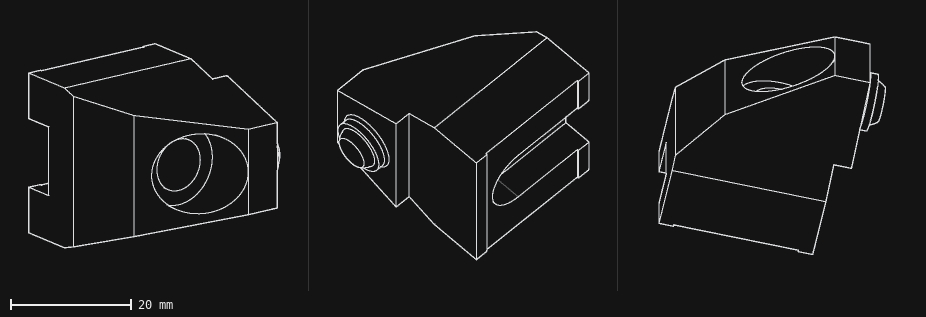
import cadquery as cq
import math

clamp_width = 30.0
clamp_height = 28.0
back_length = 26.25
nose_end_y = 29.25
nose_start_x = 16.0
foot_width = 12.5
knee_x = 20.4
knee_y = 6.65
nose_side_y = 23.25

relief_depth = 0.25
relief_margin = 2.5

taper_start_x = 10.0
taper_end_height = 15.0

slot_width = 12.0
slot_depth = 5.5
bolt_y = 16.25
bolt_hole_diameter = 9.0
counterbore_diameter = 14.0
counterbore_floor_x = 20.0

button_x = (nose_start_x + clamp_width) / 2
flare_radius = 5.3
flare_height = 0.62
collar_radius = 4.85
collar_height = 1.3
ball_radius = 4.0
ball_flat_radius = 3.0
button_height = 32.8 - nose_end_y


def x_cylinder(diameter, start_x, end_x):
    """Cylinder along X on the bolt axis."""
    plane = cq.Workplane("YZ", origin=(start_x, bolt_y, 0))
    return plane.circle(diameter / 2).extrude(end_x - start_x)


def make_blank():
    """Plan outline with the back relief, trimmed by the tapered side profile."""
    plan = (
        cq.Workplane("XY")
        .moveTo(0, 0)
        .lineTo(foot_width, 0)
        .lineTo(knee_x, knee_y)
        .lineTo(clamp_width, nose_side_y)
        .lineTo(clamp_width, nose_end_y)
        .lineTo(nose_start_x, nose_end_y)
        .lineTo(nose_start_x, back_length)
        .lineTo(0, back_length)
        .lineTo(0, back_length - relief_margin)
        .lineTo(relief_depth, back_length - relief_margin)
        .lineTo(relief_depth, relief_margin)
        .lineTo(0, relief_margin)
        .close()
        .extrude(clamp_height / 2, both=True)
    )
    taper = (
        cq.Workplane("XZ")
        .moveTo(0, -clamp_height / 2)
        .lineTo(taper_start_x, -clamp_height / 2)
        .lineTo(clamp_width, -taper_end_height / 2)
        .lineTo(clamp_width, taper_end_height / 2)
        .lineTo(taper_start_x, clamp_height / 2)
        .lineTo(0, clamp_height / 2)
        .close()
        .extrude(-nose_end_y)
    )
    return plan.intersect(taper)


def make_slot():
    """Slot open at the foot, ending in a half round on the bolt axis."""
    straight = cq.Workplane("XY").box(slot_depth, bolt_y, slot_width, centered=(False, False, True))
    return straight.union(x_cylinder(slot_width, 0, slot_depth))


def make_clamp():
    """Clamp with its slot, bolt hole and counterbore cut out."""
    bolt_hole = x_cylinder(bolt_hole_diameter, 0, clamp_width)
    counterbore = x_cylinder(counterbore_diameter, counterbore_floor_x, clamp_width)
    return make_blank().cut(make_slot()).cut(bolt_hole).cut(counterbore)


def make_button():
    """Turned button: conical flare, collar and a flattened ball tip."""
    collar_top = flare_height + collar_height
    ball_centre = button_height - math.sqrt(ball_radius**2 - ball_flat_radius**2)
    ball_base_radius = math.sqrt(ball_radius**2 - (collar_top - ball_centre) ** 2)
    return (
        cq.Workplane("XY", origin=(button_x, nose_end_y, 0))
        .moveTo(0, 0)
        .lineTo(flare_radius, 0)
        .lineTo(collar_radius, flare_height)
        .lineTo(collar_radius, collar_top)
        .lineTo(ball_base_radius, collar_top)
        .radiusArc((ball_flat_radius, button_height), -ball_radius)
        .lineTo(0, button_height)
        .close()
        .revolve(360, (0, 0, 0), (0, 1, 0))
    )


clamp = make_clamp()
button = make_button()
result = cq.Compound.makeCompound([clamp.val(), button.val()])